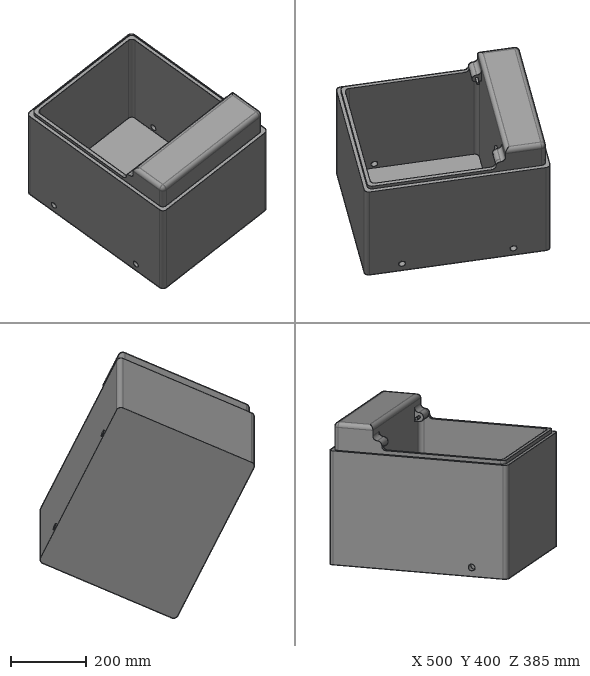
import cadquery as cq
import math

LENGTH = 500.0
WIDTH = 400.0
BOX_HEIGHT = 310.0
TOTAL_HEIGHT = 385.0
CORNER_RADIUS = 12.5

LIP_INSET = 10.0
LIP_HEIGHT = 10.0
LIP_LENGTH = LENGTH - 2 * LIP_INSET
LIP_WIDTH = WIDTH - 2 * LIP_INSET
LIP_TOP = BOX_HEIGHT + LIP_HEIGHT
HOUSING_X = 380.0
HOUSING_FILLET = CORNER_RADIUS

WALL = 20.0
FLOOR = 10.0
CAVITY_LENGTH = HOUSING_X - WALL
CAVITY_WIDTH = WIDTH - 2 * WALL

KNUCKLE_RADIUS = 12.5
KNUCKLE_LENGTH = 50.0
KNUCKLE_END_Y = LIP_WIDTH / 2 - KNUCKLE_LENGTH
KNUCKLE_X = HOUSING_X - KNUCKLE_RADIUS
KNUCKLE_Z = LIP_TOP + KNUCKLE_RADIUS
PIN_DIAMETER = 7.5
PIN_LENGTH = 20.0

HOLE_DIAMETER = 18.0
HOLE_Z = 25.0
HOLE_END_DISTANCE = 100.0


def rounded_block(length, width, bottom, top, start_x):
    """Block centred on Y with rounded vertical edges."""
    block = cq.Workplane("XY").box(length, width, top - bottom, centered=(False, True, False))
    return block.translate((start_x, 0, bottom)).edges("|Z").fillet(CORNER_RADIUS)


def along_y(start_y, end_y):
    """Empty XZ sketch plane at start_y, with the extrusion distance towards end_y."""
    return cq.Workplane("XZ", origin=(0, start_y, 0)), start_y - end_y


def upper_body():
    """Lip and housing, joined by an S-shaped step in the side outline."""
    r = KNUCKLE_RADIUS
    knuckle_front = KNUCKLE_X - r
    diagonal = r * math.sqrt(0.5)
    plane, distance = along_y(WIDTH / 2, -WIDTH / 2)
    outline = (
        plane.moveTo(0, 0)
        .lineTo(0, LIP_TOP)
        .lineTo(knuckle_front - r, LIP_TOP)
        .threePointArc((knuckle_front - r + diagonal, KNUCKLE_Z - diagonal), (knuckle_front, KNUCKLE_Z))
        .threePointArc((KNUCKLE_X - diagonal, KNUCKLE_Z + diagonal), (KNUCKLE_X, KNUCKLE_Z + r))
        .threePointArc((KNUCKLE_X + diagonal, KNUCKLE_Z + 2 * r - diagonal), (HOUSING_X, KNUCKLE_Z + 2 * r))
        .lineTo(HOUSING_X, TOTAL_HEIGHT)
        .lineTo(LENGTH, TOTAL_HEIGHT)
        .lineTo(LENGTH, 0)
        .close()
        .extrude(distance)
    )
    body = rounded_block(LIP_LENGTH, LIP_WIDTH, 0, TOTAL_HEIGHT, LIP_INSET).intersect(outline)
    return body.faces(">Z").edges().fillet(HOUSING_FILLET)


def knuckle(side):
    """Rounded hinge boss blending into the housing face; side is +1 or -1 along Y."""
    r = KNUCKLE_RADIUS
    diagonal = r * math.sqrt(0.5)
    plane, distance = along_y(side * LIP_WIDTH / 2, side * KNUCKLE_END_Y)
    return (
        plane.moveTo(HOUSING_X, KNUCKLE_Z - r)
        .lineTo(KNUCKLE_X, KNUCKLE_Z - r)
        .threePointArc((KNUCKLE_X - diagonal, KNUCKLE_Z - diagonal), (KNUCKLE_X - r, KNUCKLE_Z))
        .threePointArc((KNUCKLE_X - diagonal, KNUCKLE_Z + diagonal), (KNUCKLE_X, KNUCKLE_Z + r))
        .threePointArc((KNUCKLE_X + diagonal, KNUCKLE_Z + 2 * r - diagonal), (HOUSING_X, KNUCKLE_Z + 2 * r))
        .close()
        .extrude(distance)
    )


def hinge_pin(side):
    """Pin on the knuckle axis, pointing towards the middle of the box."""
    plane, distance = along_y(side * KNUCKLE_END_Y, side * (KNUCKLE_END_Y - PIN_LENGTH))
    return plane.center(KNUCKLE_X, KNUCKLE_Z).circle(PIN_DIAMETER / 2).extrude(distance)


def side_hole(x, depth):
    """Hole entering the -Y side."""
    plane, distance = along_y(-WIDTH / 2, -WIDTH / 2 + depth)
    return plane.center(x, HOLE_Z).circle(HOLE_DIAMETER / 2).extrude(distance)


result = rounded_block(LENGTH, WIDTH, 0, BOX_HEIGHT, 0).union(upper_body())
result = result.cut(rounded_block(CAVITY_LENGTH, CAVITY_WIDTH, FLOOR, TOTAL_HEIGHT, WALL))
for hinge_side in (-1, 1):
    result = result.union(knuckle(hinge_side)).union(hinge_pin(hinge_side))

result = result.cut(side_hole(HOLE_END_DISTANCE, WIDTH))
result = result.cut(side_hole(LENGTH - HOLE_END_DISTANCE, WALL))